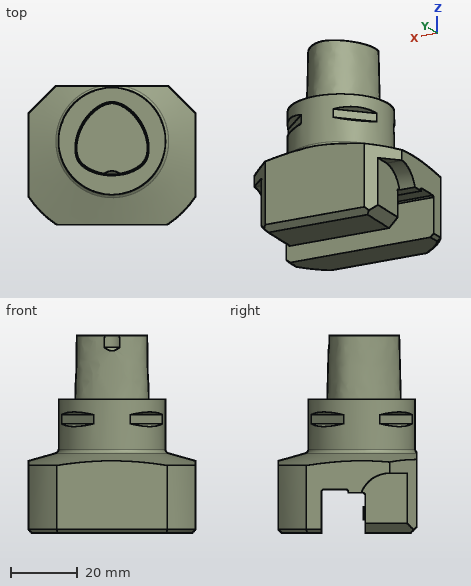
import cadquery as cq
import math

total_height = 59
body_half_width = 24.985
body_back = 16.5
corner_radius = 30.0
corner_height = 20.2
cone_angle = 15.7
back_corner_cut = 8.2
bottom_chamfer = 1.05
back_bottom_chamfer = 1.9

collar_radius = 32.0 / 2
collar_top = 40.0
collar_fillet = 1.2
grip_flat_distance = 14.45
grip_height = 34.0
grip_floor_half = 1.3
grip_flare = math.tan(math.radians(30))

shank_base_radius = 11.05
shank_lobe = 0.7
shank_taper = 1 / 40
notch_radius = 3.55
notch_deepest_y = -8.9
notch_depth = 3.55

slot_front = -12.0
slot_step = -4.0
slot_back = 1.0
slot_low_roof = 12.0
slot_high_roof = 13
slot_corner = 0.5

recess_face_x = 19.75
recess_top = 17.9
recess_radius = 9.0
recess_bottom_chamfer = 2.95

pin_diameter = 3.85
pin_height = 5.95
pin_projection = 0.5
pin_embed = 1.75

width = 2 * body_half_width
cone_slope = math.tan(math.radians(cone_angle))
cut_start_y = body_back - back_corner_cut
clearance = 5.9


def along_x(profile, start, end):
    """Extrude a YZ profile between two X positions."""
    return profile.extrude(end - start).translate((start, 0, 0))


def make_body():
    collar_cone_height = corner_height + cone_slope * (corner_radius - collar_radius)
    turned = (
        cq.Workplane("XZ")
        .moveTo(0, 0)
        .lineTo(corner_radius - bottom_chamfer, 0)
        .lineTo(corner_radius, bottom_chamfer)
        .lineTo(corner_radius, corner_height)
        .lineTo(collar_radius, collar_cone_height)
        .lineTo(collar_radius, collar_top)
        .lineTo(0, collar_top)
        .close()
        .revolve(360, (0, 0), (0, 1))
    )
    collar_base = cq.selectors.BoxSelector(
        (-collar_radius - 0.6, -collar_radius - 0.6, collar_cone_height - 0.05),
        (collar_radius + 0.6, collar_radius + 0.6, collar_cone_height + 0.05),
        boundingbox=True,
    )
    turned = turned.edges(collar_base).fillet(collar_fillet)

    depth = body_back + body_half_width
    block = (
        cq.Workplane("XY")
        .box(width, depth, collar_top, centered=(True, False, False))
        .translate((0, -body_half_width, 0))
        .edges("|Z and >Y")
        .chamfer(back_corner_cut)
        .faces("<Z")
        .edges("<X or >X or <Y")
        .chamfer(bottom_chamfer)
        .faces("<Z")
        .edges(">Y")
        .chamfer(back_bottom_chamfer)
    )
    return turned.intersect(block)


def shank_outline(radius, height):
    """Closed three-lobed curve with one lobe pointing toward +Y."""

    def point(t):
        along = radius * math.cos(t) - 2 * shank_lobe * math.cos(2 * t) + shank_lobe * math.cos(4 * t)
        across = radius * math.sin(t) + 2 * shank_lobe * math.sin(2 * t) + shank_lobe * math.sin(4 * t)
        return across, -along

    curve = cq.Workplane("XY").parametricCurve(lambda s: point(2 * math.pi * s), N=90)
    return curve.val().translate(cq.Vector(0, 0, height))


def make_shank():
    top_radius = shank_base_radius - shank_taper * (total_height - collar_top)
    base = shank_outline(shank_base_radius, collar_top)
    top = shank_outline(top_radius, total_height)
    return cq.Workplane(cq.Solid.makeLoft([base, top], True))


def make_notch():
    """Vertical drilled pocket with a 90 degree point, breaking the front of the shank."""
    shoulder = total_height - notch_depth
    drill = (
        cq.Workplane("XZ")
        .moveTo(0, shoulder - notch_radius)
        .lineTo(notch_radius, shoulder)
        .lineTo(notch_radius, total_height + clearance)
        .lineTo(0, total_height + clearance)
        .close()
        .revolve(360, (0, 0), (0, 1))
    )
    return drill.translate((0, notch_deepest_y - notch_radius, 0))


def make_grip_slot(angle):
    rise = grip_floor_half + clearance * grip_flare
    outer = grip_flat_distance + clearance
    return (
        cq.Workplane("XZ")
        .polyline([
            (grip_flat_distance, grip_height - grip_floor_half),
            (outer, grip_height - rise),
            (outer, grip_height + rise),
            (grip_flat_distance, grip_height + grip_floor_half),
        ])
        .close()
        .extrude(collar_radius, both=True)
        .rotate((0, 0, 0), (0, 0, 1), angle)
    )


def make_tool_slot():
    profile = (
        cq.Workplane("YZ")
        .moveTo(slot_front, -clearance)
        .lineTo(slot_front, slot_high_roof - slot_corner)
        .lineTo(slot_front + slot_corner, slot_high_roof)
        .lineTo(slot_step - slot_corner, slot_high_roof)
        .lineTo(slot_step, slot_high_roof - slot_corner)
        .lineTo(slot_step, slot_low_roof)
        .lineTo(slot_back - slot_corner, slot_low_roof)
        .lineTo(slot_back, slot_low_roof - slot_corner)
        .lineTo(slot_back, -clearance)
        .close()
    )
    return along_x(profile, -body_half_width, body_half_width)


def make_side_recess():
    """Recess on the +X side: round-cornered pocket plus a chamfer under its face."""
    center_z = recess_top - recess_radius
    front = cut_start_y - recess_radius
    diagonal = recess_radius * math.sqrt(0.5)
    profile = (
        cq.Workplane("YZ")
        .moveTo(front, -clearance)
        .lineTo(front, center_z)
        .threePointArc((cut_start_y - diagonal, center_z + diagonal), (cut_start_y, recess_top))
        .lineTo(body_back + clearance, recess_top)
        .lineTo(body_back + clearance, -clearance)
        .close()
    )
    pocket = along_x(profile, recess_face_x, body_half_width + clearance)
    wedge = (
        cq.Workplane("XZ")
        .polyline([
            (recess_face_x - recess_bottom_chamfer, 0),
            (recess_face_x, recess_bottom_chamfer),
            (recess_face_x, 0),
        ])
        .close()
        .extrude(-(body_back - slot_back))
        .translate((0, slot_back, 0))
    )
    return pocket.union(wedge)


def make_pin():
    return (
        cq.Workplane("XZ", origin=(0, slot_back + pin_embed, pin_height))
        .circle(pin_diameter / 2)
        .extrude(pin_embed + pin_projection)
    )


side_recess = make_side_recess()
result = make_body().cut(make_tool_slot())
result = result.cut(side_recess).cut(side_recess.mirror("YZ"))
for grip_angle in (45, 135, 225, 315):
    result = result.cut(make_grip_slot(grip_angle))
result = result.union(make_shank().cut(make_notch())).union(make_pin())